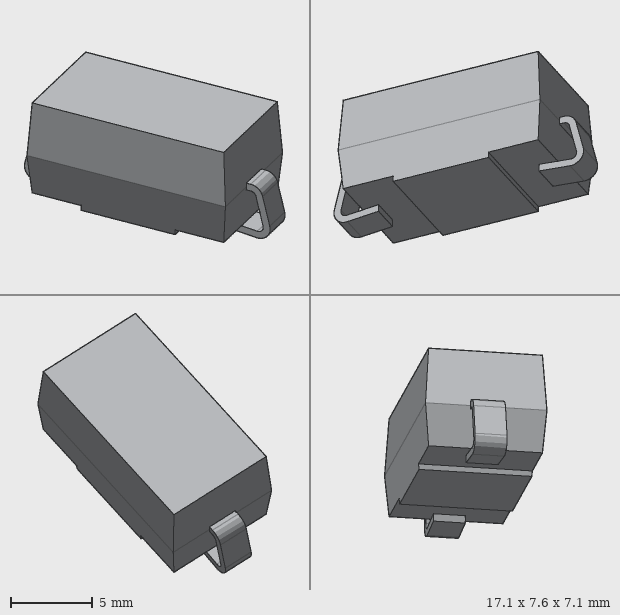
import cadquery as cq
import math

body_length = 13.78
body_width = 7.6
taper_inset = 0.24
top_height = 3.67
bottom_depth = 2.71

standoff_length = 6.51
standoff_height = 0.35

overall_length = 17.05
lead_width = 2.0
lead_thickness = 0.48
lead_top = 0.25
lead_bottom = -3.43
outer_bend = 0.85
inner_bend = outer_bend - lead_thickness
lean_angle = 14.0
foot_angle = 5.0
foot_end_x = -5.47
lead_embed = 0.17


def body_half(height, inset):
    """Frustum from the parting plane to a smaller face at Z = height."""
    return (
        cq.Workplane("XY")
        .rect(body_length, body_width)
        .workplane(offset=height)
        .rect(body_length - 2 * inset, body_width - 2 * inset)
        .loft(ruled=True)
    )


def lower_body():
    """Lower half carried down to the standoff face, cut back at both ends."""
    total_depth = bottom_depth + standoff_height
    inset = taper_inset * total_depth / bottom_depth
    end_length = (body_length - standoff_length) / 2
    end_x = (body_length + standoff_length) / 4
    end_cuts = (
        cq.Workplane("XY")
        .workplane(offset=-total_depth)
        .pushPoints([(-end_x, 0), (end_x, 0)])
        .rect(end_length, body_width)
        .extrude(standoff_height)
    )
    return body_half(-total_depth, inset).cut(end_cuts)


def polar(centre, radius, angle):
    """Point at the given radius and angle (degrees) from a bend centre."""
    turn = math.radians(angle)
    return (centre[0] + radius * math.cos(turn), centre[1] + radius * math.sin(turn))


def left_lead():
    """Strip that leaves the body, leans outwards and folds back underneath."""
    lower = (-overall_length / 2 + outer_bend, lead_bottom + outer_bend)
    upper_z = lead_top - outer_bend
    upper = (lower[0] + (upper_z - lower[1]) * math.tan(math.radians(lean_angle)), upper_z)
    root_x = -body_length / 2 + lead_embed

    leg_normal = 180 - lean_angle
    foot_normal = 270 + foot_angle
    upper_middle = (90 + leg_normal) / 2
    lower_middle = (leg_normal + foot_normal) / 2

    def foot_end(radius):
        start_x, start_z = polar(lower, radius, foot_normal)
        rise = (foot_end_x - start_x) * math.tan(math.radians(foot_angle))
        return (foot_end_x, start_z + rise)

    profile = (
        cq.Workplane("XZ")
        .moveTo(root_x, lead_top)
        .lineTo(*polar(upper, outer_bend, 90))
        .threePointArc(polar(upper, outer_bend, upper_middle), polar(upper, outer_bend, leg_normal))
        .lineTo(*polar(lower, outer_bend, leg_normal))
        .threePointArc(polar(lower, outer_bend, lower_middle), polar(lower, outer_bend, foot_normal))
        .lineTo(*foot_end(outer_bend))
        .lineTo(*foot_end(inner_bend))
        .lineTo(*polar(lower, inner_bend, foot_normal))
        .threePointArc(polar(lower, inner_bend, lower_middle), polar(lower, inner_bend, leg_normal))
        .lineTo(*polar(upper, inner_bend, leg_normal))
        .threePointArc(polar(upper, inner_bend, upper_middle), polar(upper, inner_bend, 90))
        .lineTo(root_x, lead_top - lead_thickness)
        .close()
    )
    return profile.extrude(lead_width / 2, both=True)


lead = left_lead()
result = (
    body_half(top_height, taper_inset)
    .union(lower_body())
    .union(lead)
    .union(lead.mirror("YZ"))
)